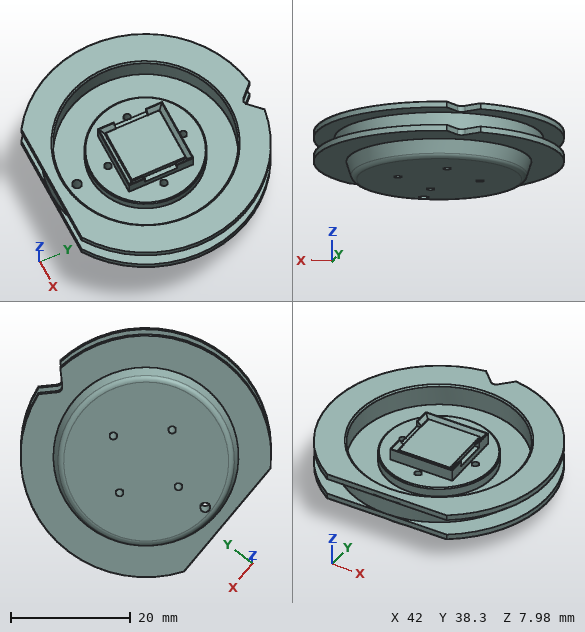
import cadquery as cq
import math

flange_diameter = 41.95
flange_thickness = 1.0
hub_diameter = 35.0
flange_gap = 3.0
cup_height = 2.98
cup_top_diameter = 31.0
cup_taper_angle = 18.0
cup_edge_radius = 1.0

lower_flange_z = cup_height
hub_z = lower_flange_z + flange_thickness
upper_flange_z = hub_z + flange_gap
top_z = upper_flange_z + flange_thickness

flat_y = -hub_diameter / 2
notch_half_width = 2.9
notch_angle = 90.0
notch_root_diameter = 1.8

well_diameter = 31.0
well_depth = 4.03
well_chamfer = 0.3
floor_z = top_z - well_depth
boss_diameter = 20.5
boss_height = 1.7
boss_chamfer = 0.2
boss_top_z = floor_z + boss_height

boss_hole_diameter = 1.25
boss_hole_circle_radius = 7.0
boss_hole_count = 4
floor_hole_diameter = 1.65
floor_hole_y = -12.75

socket_width = 12.0
socket_height = 2.15
socket_rim = 0.13
mouth_slope_angle = 45.0
socket_top_z = boss_top_z + socket_height
opening_length = 6.0
opening_depth = 1.0
ledge_z = socket_top_z - opening_depth

chip_width = 10.0
chip_thickness = 1.0
chip_clearance = 0.13
chip_setback = 0.4
chip_top_z = socket_top_z - chip_setback
chip_bottom_z = chip_top_z - chip_thickness
seat_width = chip_width + 2 * chip_clearance


def disc(diameter, z, height):
    return cq.Workplane("XY").workplane(offset=z).circle(diameter / 2).extrude(height)


def square_block(width, z, height):
    return cq.Workplane("XY").workplane(offset=z).rect(width, width).extrude(height)


def notch_cutter(z):
    """V-shaped prism with a rounded root, reaching past the flange edge."""
    edge_y = math.sqrt((flange_diameter / 2) ** 2 - notch_half_width**2)
    slope = 1 / math.tan(math.radians(notch_angle / 2))
    root_y = edge_y - notch_half_width * slope
    outer_y = flange_diameter / 2 + notch_half_width
    outer_half_width = (outer_y - root_y) / slope
    outline = [(0, root_y), (outer_half_width, outer_y), (-outer_half_width, outer_y)]
    cutter = cq.Workplane("XY").workplane(offset=z).polyline(outline).close().extrude(flange_thickness)
    return cutter.edges("|Z and <Y").fillet(notch_root_diameter / 2)


def make_flange(z):
    flat_cutter = (
        cq.Workplane("XY")
        .workplane(offset=z)
        .center(0, flat_y - flange_diameter / 2)
        .rect(flange_diameter, flange_diameter)
        .extrude(flange_thickness)
    )
    return disc(flange_diameter, z, flange_thickness).cut(flat_cutter).cut(notch_cutter(z))


def make_cup():
    cup = (
        cq.Workplane("XY")
        .workplane(offset=cup_height)
        .circle(cup_top_diameter / 2)
        .extrude(-cup_height, taper=cup_taper_angle)
    )
    return cup.faces("<Z").edges().fillet(cup_edge_radius)


def make_well():
    """Round cutter that widens at the top to break the rim of the well."""
    well = disc(well_diameter, floor_z, well_depth)
    rim_cone = (
        cq.Workplane("XY")
        .workplane(offset=top_z - well_chamfer)
        .circle(well_diameter / 2)
        .workplane(offset=well_chamfer)
        .circle(well_diameter / 2 + well_chamfer)
        .loft(ruled=True)
    )
    return well.union(rim_cone)


def make_socket():
    """Square frame, open at the top, with a straight-sided seat below the sloped walls."""
    socket = square_block(socket_width, boss_top_z, socket_height)
    mouth_width = socket_width - 2 * socket_rim
    slope_depth = (mouth_width - seat_width) / 2 / math.tan(math.radians(mouth_slope_angle))
    slope_z = socket_top_z - slope_depth
    sloped_mouth = (
        cq.Workplane("XY")
        .workplane(offset=slope_z)
        .rect(seat_width, seat_width)
        .workplane(offset=slope_depth)
        .rect(mouth_width, mouth_width)
        .loft(ruled=True)
    )
    side_openings = (
        cq.Workplane("XY").workplane(offset=ledge_z).rect(socket_width, opening_length).extrude(opening_depth)
    )
    seat = square_block(seat_width, chip_bottom_z, slope_z - chip_bottom_z)
    return socket.cut(sloped_mouth).cut(side_openings).cut(seat)


def make_spool():
    hub = disc(hub_diameter, hub_z, flange_gap)
    spool = make_cup().union(make_flange(lower_flange_z)).union(hub).union(make_flange(upper_flange_z))

    spool = spool.cut(make_well())
    boss = disc(boss_diameter, floor_z, boss_height).faces(">Z").chamfer(boss_chamfer)
    spool = spool.union(boss).union(make_socket())

    boss_holes = (
        cq.Workplane("XY")
        .polarArray(boss_hole_circle_radius, 0, 360, boss_hole_count)
        .circle(boss_hole_diameter / 2)
        .extrude(top_z)
    )
    floor_hole = cq.Workplane("XY").center(0, floor_hole_y).circle(floor_hole_diameter / 2).extrude(top_z)
    return spool.cut(boss_holes).cut(floor_hole)


def make_chip():
    return square_block(chip_width, chip_bottom_z, chip_thickness)


spool = make_spool()
chip = make_chip()

result = cq.Compound.makeCompound([spool.val(), chip.val()])